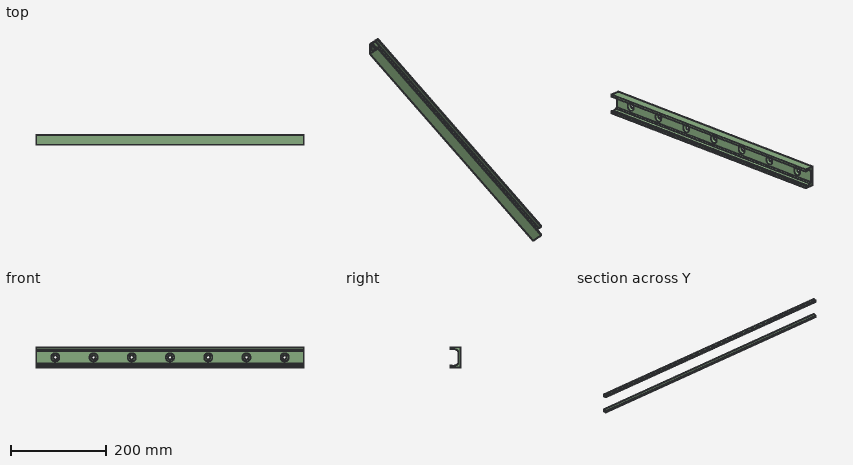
import cadquery as cq

length = 560.0
depth = 21.0
height = 43.0

web_thickness = 5.0
lip_thickness = 5.0
lip_land = 1.5
valley_thickness = 4.0
valley_setback = 7.0
relief_width = 0.5
relief_thickness = 3.0
root_thickness = 6.0
corner_chamfer = 3.0

hole_count = 7
hole_pitch = length / hole_count
hole_diameter = 8.5
countersink_diameter = 17.5
countersink_angle = 90.0

front_y = -depth / 2
back_y = depth / 2
web_y = back_y - web_thickness
half_height = height / 2


def flange_profile():
    """Upper half of the inner outline, from the free edge to the web."""
    lip_z = half_height - lip_thickness
    valley_z = half_height - valley_thickness
    relief_z = half_height - relief_thickness
    root_z = half_height - root_thickness
    relief_front_y = front_y + valley_setback - relief_width / 2
    relief_back_y = relief_front_y + relief_width
    return [
        (front_y, lip_z),
        (front_y + lip_land, lip_z),
        (relief_front_y, valley_z),
        (relief_front_y, relief_z),
        (relief_back_y, relief_z),
        (relief_back_y, valley_z),
        (web_y - corner_chamfer, root_z),
        (web_y, root_z - corner_chamfer),
    ]


def make_channel():
    """C-shaped section with a V raceway and relief groove in each flange."""
    upper = flange_profile()
    lower = [(y, -z) for y, z in reversed(upper)]
    outer = [
        (front_y, -half_height),
        (back_y, -half_height),
        (back_y, half_height),
        (front_y, half_height),
    ]
    section = cq.Workplane("YZ", origin=(-length / 2, 0, 0)).polyline(outer + upper + lower)
    return section.close().extrude(length)


def drill_mounting_holes(channel):
    """Countersink one row of holes from the inner face of the web."""
    return (
        channel.copyWorkplane(cq.Workplane("XZ", origin=(0, web_y, 0)))
        .rarray(hole_pitch, 5.5, hole_count, 1)
        .cskHole(hole_diameter, countersink_diameter, countersink_angle)
    )


result = drill_mounting_holes(make_channel())